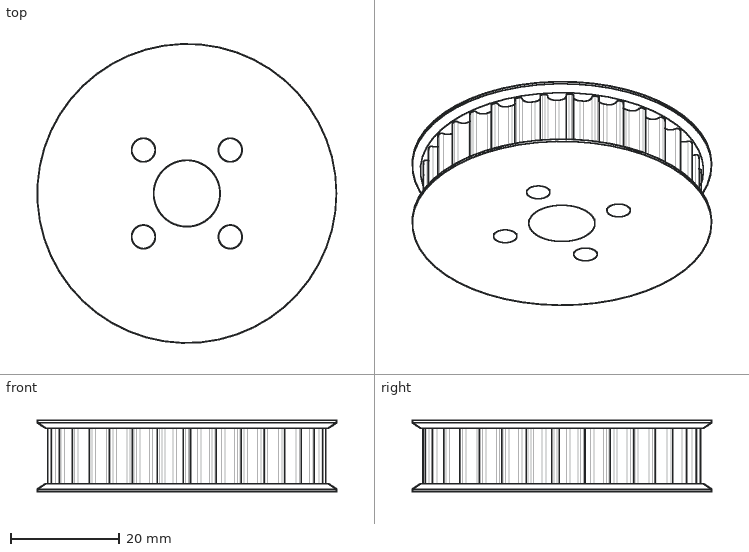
import cadquery as cq
import math


flange_diameter = 55.25
total_width = 13.2

flange_thickness = 1.5
flange_edge_width = 0.5
flange_inner_diameter = 52.25

tooth_count = 33
tip_diameter = 51.35
groove_depth = 2.05
groove_floor_width = 0.65
groove_side_radius = 1.4
tooth_tip_radius = 0.45

bore_diameter = 12.2
bolt_hole_diameter = 4.3
bolt_hole_spacing = 16.0

half_width = total_width / 2
tooth_pitch_angle = 2 * math.pi / tooth_count
first_tooth_angle = -math.pi / 2


def polar_offset(point, radius, angle):
    """Point at a distance and direction from another point."""
    return (point[0] + radius * math.cos(angle), point[1] + radius * math.sin(angle))


def rotated(point, angle):
    """Point turned about the pulley axis."""
    x, y = point
    return (x * math.cos(angle) - y * math.sin(angle), x * math.sin(angle) + y * math.cos(angle))


def groove_half_profile():
    """Points of half a groove centred on +X, from the floor edge out to the tooth tip, on the +Y side.

    The concave side arc leaves the floor tangentially and meets the convex tip rounding tangentially;
    the tip rounding in turn is tangent to the tip circle.
    """
    tip_radius = tip_diameter / 2
    floor_radius = tip_radius - groove_depth
    floor_edge = (floor_radius, groove_floor_width / 2)
    side_center = (floor_radius + groove_side_radius, groove_floor_width / 2)

    axis_to_side = math.hypot(*side_center)
    axis_to_rounding = tip_radius - tooth_tip_radius
    side_to_rounding = groove_side_radius + tooth_tip_radius
    cos_at_axis = (axis_to_side**2 + axis_to_rounding**2 - side_to_rounding**2) / (
        2 * axis_to_side * axis_to_rounding
    )
    tip_edge_angle = math.atan2(side_center[1], side_center[0]) + math.acos(cos_at_axis)
    rounding_center = polar_offset((0, 0), axis_to_rounding, tip_edge_angle)

    side_end_angle = math.atan2(rounding_center[1] - side_center[1], rounding_center[0] - side_center[0])
    side_middle = polar_offset(side_center, groove_side_radius, (math.pi + side_end_angle) / 2)
    side_end = polar_offset(side_center, groove_side_radius, side_end_angle)

    rounding_start_angle = side_end_angle - math.pi
    rounding_middle_angle = (rounding_start_angle + tip_edge_angle) / 2
    rounding_middle = polar_offset(rounding_center, tooth_tip_radius, rounding_middle_angle)
    tip_edge = polar_offset((0, 0), tip_radius, tip_edge_angle)
    return [floor_edge, side_middle, side_end, rounding_middle, tip_edge]


def make_toothed_rim():
    """Full-width toothed core with one tooth centred on -Y."""
    rising_side = groove_half_profile()
    falling_side = [(x, -y) for x, y in reversed(rising_side)]
    tip_middle = polar_offset((0, 0), tip_diameter / 2, tooth_pitch_angle / 2)

    first_groove_angle = first_tooth_angle + tooth_pitch_angle / 2
    outline = cq.Workplane("XY").workplane(offset=-half_width)
    outline = outline.moveTo(*rotated(falling_side[0], first_groove_angle))
    for index in range(tooth_count):
        groove_angle = first_groove_angle + index * tooth_pitch_angle
        falling = [rotated(point, groove_angle) for point in falling_side]
        rising = [rotated(point, groove_angle) for point in rising_side]
        next_tooth_start = rotated(falling_side[0], groove_angle + tooth_pitch_angle)
        outline = (
            outline.threePointArc(falling[1], falling[2])
            .threePointArc(falling[3], falling[4])
            .lineTo(*rising[0])
            .threePointArc(rising[1], rising[2])
            .threePointArc(rising[3], rising[4])
            .threePointArc(rotated(tip_middle, groove_angle), next_tooth_start)
        )
    return outline.close().extrude(total_width)


def make_top_flange():
    """Disc whose inner face is bevelled towards the rim."""
    outer_radius = flange_diameter / 2
    inner_face = half_width - flange_thickness
    section = [
        (0, half_width),
        (outer_radius, half_width),
        (outer_radius, half_width - flange_edge_width),
        (flange_inner_diameter / 2, inner_face),
        (0, inner_face),
    ]
    return cq.Workplane("XZ").polyline(section).close().revolve(360, (0, 0, 0), (0, 1, 0))


def make_hole_cutters():
    """Central bore and a square pattern of four bolt holes, all passing through."""
    base = cq.Workplane("XY").workplane(offset=-half_width)
    bore = base.circle(bore_diameter / 2).extrude(total_width)
    bolt_holes = (
        base.rect(bolt_hole_spacing, bolt_hole_spacing, forConstruction=True)
        .vertices()
        .circle(bolt_hole_diameter / 2)
        .extrude(total_width)
    )
    return bore.union(bolt_holes)


top_flange = make_top_flange()
bottom_flange = top_flange.mirror("XY")
result = make_toothed_rim().union(top_flange).union(bottom_flange).cut(make_hole_cutters())